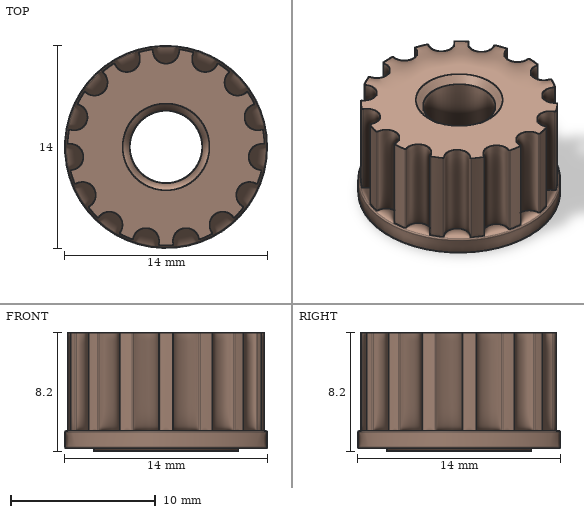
import cadquery as cq

flange_diameter = 14.0
flange_thickness = 1.2
flange_edge_fillet = 0.1
hub_diameter = 10.0
hub_height = 0.2

body_diameter = 13.61
body_height = 6.8
groove_count = 15
groove_radius = 0.91
groove_floor_radius = 5.75
tooth_tip_fillet = 0.07

bore_diameter = 5.0
bore_chamfer = 0.5

flange_top = hub_height + flange_thickness
total_height = flange_top + body_height


def make_disc(diameter, height, base_z):
    return cq.Workplane("XY").workplane(offset=base_z).circle(diameter / 2).extrude(height)


def make_flange():
    flange = make_disc(flange_diameter, flange_thickness, hub_height)
    return flange.edges().fillet(flange_edge_fillet)


def make_groove():
    """Round groove cutter at +Y; its seam line lies outside the body."""
    arc_center = (0, groove_floor_radius + groove_radius, flange_top)
    plane = cq.Plane(origin=arc_center, xDir=(0, 1, 0), normal=(0, 0, 1))
    return cq.Workplane(plane).circle(groove_radius).extrude(body_height)


def make_toothed_body():
    body = make_disc(body_diameter, body_height, flange_top)
    groove = make_groove()
    for index in range(groove_count):
        angle = index * 360 / groove_count
        body = body.cut(groove.rotate((0, 0, 0), (0, 0, 1), angle))
    return body.edges("|Z").fillet(tooth_tip_fillet)


def make_bore():
    """Through bore joined to its conical mouth."""
    bore = make_disc(bore_diameter, total_height, 0)
    mouth = (
        cq.Workplane("XY")
        .workplane(offset=total_height - bore_chamfer)
        .circle(bore_diameter / 2)
        .workplane(offset=bore_chamfer)
        .circle(bore_diameter / 2 + bore_chamfer)
        .loft()
    )
    return bore.union(mouth)


hub = make_disc(hub_diameter, hub_height, 0)
result = hub.union(make_flange()).union(make_toothed_body()).cut(make_bore())